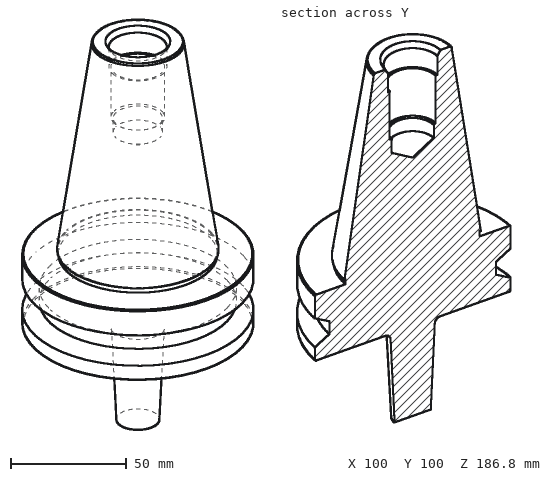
import cadquery as cq
import math

total_height = 186.8
taper_small_radius = 20.0
taper_large_radius = 35.0
taper_start_z = 84.2
tip_chamfer_width = 0.5
tip_chamfer_height = 1.0
neck_radius = 34.4

flange_diameter = 100.0
flange_radius = flange_diameter / 2
flange_bottom_z = 47.0
flange_top_z = 81.8
flange_edge_chamfer = 0.5
groove_radius = 42.5
groove_bottom_z = 58.7
groove_top_z = 65.2
groove_flank_angle = 30.0
groove_flank_height = (flange_radius - groove_radius) * math.tan(math.radians(groove_flank_angle))

nose_end_radius = 9.3
nose_root_radius = 11.4
nose_fillet_radius = 2.8

mouth_radius = 14.0
mouth_depth = 2.6
counterbore_radius = 12.5
counterbore_depth = 12.5
upper_bore_radius = 11.5
upper_bore_depth = 37.4
lower_bore_radius = 10.6
lower_bore_depth = 44.8
drill_point_angle = 118.0
drill_point_slope = 1 / math.tan(math.radians(drill_point_angle / 2))
drill_point_height = lower_bore_radius * drill_point_slope
shoulder_height = (upper_bore_radius - lower_bore_radius) * drill_point_slope


def revolve_profile(profile):
    """Turn a closed radius-height profile about the Z axis."""
    return profile.close().revolve(360, (0, 0, 0), (0, 1, 0))


def make_body():
    fillet_start_z = flange_bottom_z - nose_fillet_radius
    fillet_end_radius = nose_root_radius + nose_fillet_radius
    arc_mid_offset = nose_fillet_radius * (1 - math.sqrt(0.5))
    rim_radius = flange_radius - flange_edge_chamfer
    profile = (
        cq.Workplane("XZ")
        .moveTo(0, 0)
        .lineTo(nose_end_radius, 0)
        .lineTo(nose_root_radius, fillet_start_z)
        .threePointArc(
            (nose_root_radius + arc_mid_offset, flange_bottom_z - arc_mid_offset),
            (fillet_end_radius, flange_bottom_z),
        )
        .lineTo(rim_radius, flange_bottom_z)
        .lineTo(flange_radius, flange_bottom_z + flange_edge_chamfer)
        .lineTo(flange_radius, groove_bottom_z - groove_flank_height)
        .lineTo(groove_radius, groove_bottom_z)
        .lineTo(groove_radius, groove_top_z)
        .lineTo(flange_radius, groove_top_z + groove_flank_height)
        .lineTo(flange_radius, flange_top_z - flange_edge_chamfer)
        .lineTo(rim_radius, flange_top_z)
        .lineTo(neck_radius, flange_top_z)
        .lineTo(neck_radius, taper_start_z)
        .lineTo(taper_large_radius, taper_start_z)
        .lineTo(taper_small_radius, total_height - tip_chamfer_height)
        .lineTo(taper_small_radius - tip_chamfer_width, total_height)
        .lineTo(0, total_height)
    )
    return revolve_profile(profile)


def make_bore():
    profile = (
        cq.Workplane("XZ")
        .moveTo(0, total_height)
        .lineTo(mouth_radius, total_height)
        .lineTo(counterbore_radius, total_height - mouth_depth)
        .lineTo(counterbore_radius, total_height - counterbore_depth)
        .lineTo(upper_bore_radius, total_height - counterbore_depth)
        .lineTo(upper_bore_radius, total_height - upper_bore_depth)
        .lineTo(lower_bore_radius, total_height - upper_bore_depth - shoulder_height)
        .lineTo(lower_bore_radius, total_height - lower_bore_depth)
        .lineTo(0, total_height - lower_bore_depth - drill_point_height)
    )
    return revolve_profile(profile)


result = make_body().cut(make_bore())